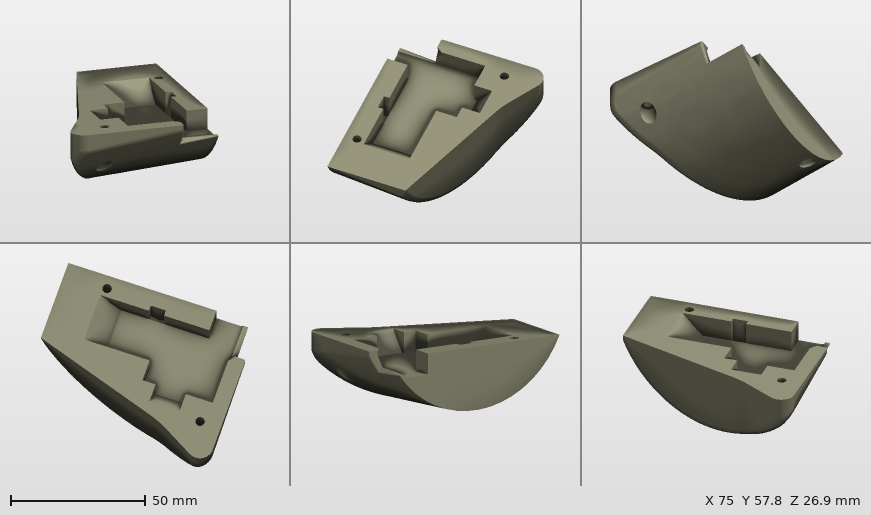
import cadquery as cq
import math


LENGTH = 75.0
WIDTH = 57.8
LEFT_END_WIDTH = 31.5
BEND_START = (49.3, -47.55)
BEND_END = (56.4, -50.85)
BEND_RADIUS = 37.5
NOSE_START_ANGLE = math.radians(-120)
NOSE_RADIUS = 5.0

BACK_DEPTH = 24.2
FRONT_DEPTH = 28.0
BACK_BELLY_RADIUS = 41.1
FRONT_BELLY_RADIUS = 44.5
BELLY_EDGE_RADIUS = 3.0

NOTCH_X = 70.8
NOTCH_Y = -15.0
NOTCH_CORNER_RADIUS = 0.75

FLOOR_Z = -8.0
FLOOR_FILLET = 1.5
RAMP_FOOT_Z = -8.4
POCKET_LEFT = 15.45
RAMP_END = 23.8
POCKET_STEP_X = 41.25
POCKET_RIGHT = 68.9
POCKET_BACK = -8.25
POCKET_MIDDLE_Y = -26.85
POCKET_FRONT_Y = -35.1
BACK_OPENING_X = 58.35

RECESS_LEFT = 46.4
RECESS_FRONT = -42.3
RECESS_RAMP_END = -36.15

GROOVE_LEFT = 34.6
GROOVE_RIGHT = 40.5
GROOVE_BACK = -6.1
GROOVE_SIDE_Z = -10.9
GROOVE_BOTTOM_Z = -12.6

SLIT_LEFT = 18.75
SLIT_FRONT = -8.55

SILL_Z = -6.9
RELIEF_WIDTH = 1.9
RELIEF_LENGTH = 2.55
RELIEF_WIDEST_Z = -2.6
RELIEF_GROWTH = 1.4
SILL_BEVEL_DROP = 1.5

PICK_MARGIN = 0.75

HOLE_CENTRES = [(16.95, -4.95), (66.9, -43.65)]
HOLE_DIAMETER = 3.5
COUNTERBORE_DIAMETER = 6.15
SEAT_Z = -10.0

OVERRUN = 7.5


def box(x_range, y_range, z_range):
    """Axis-aligned box between the given limits."""
    sizes = [abs(end - start) for start, end in (x_range, y_range, z_range)]
    corner = (min(x_range), min(y_range), min(z_range))
    return cq.Workplane("XY").box(*sizes, centered=False).translate(corner)


def prism_along_y(points, y_start, y_end):
    """Extrude an X-Z polygon from y_start towards +Y."""
    plane = cq.Workplane("XZ", origin=(0, y_start, 0))
    return plane.polyline(points).close().extrude(y_start - y_end)


def prism_along_x(points, x_start, x_end):
    """Extrude a Y-Z polygon from x_start towards +X."""
    plane = cq.Workplane("YZ", origin=(x_start, 0, 0))
    return plane.polyline(points).close().extrude(x_end - x_start)


def tetrahedron(a, b, c, d):
    """Solid with four triangular faces."""
    triangles = [(a, b, c), (a, b, d), (b, c, d), (a, c, d)]
    faces = []
    for corners in triangles:
        vectors = [cq.Vector(*corner) for corner in corners]
        faces.append(cq.Face.makeFromWires(cq.Wire.makePolygon(vectors, close=True)))
    return cq.Workplane(cq.Solid.makeSolid(cq.Shell.makeShell(faces)))


def point_on_circle(centre_x, centre_y, radius, angle):
    """Point of a circle at an angle measured from +X."""
    return (centre_x + radius * math.cos(angle), centre_y + radius * math.sin(angle))


def make_outline():
    """Plan shape as a tall prism, run past the left end so its belly edge can be rounded right through."""
    left_slope = (BEND_START[1] + LEFT_END_WIDTH) / BEND_START[0]
    left_x = -OVERRUN
    left_y = -LEFT_END_WIDTH + left_slope * left_x
    nose_x = LENGTH - NOSE_RADIUS
    nose_y = -WIDTH + NOSE_RADIUS
    nose_start = point_on_circle(nose_x, nose_y, NOSE_RADIUS, NOSE_START_ANGLE)
    nose_middle = point_on_circle(nose_x, nose_y, NOSE_RADIUS, NOSE_START_ANGLE / 2)
    return (
        cq.Workplane("XY", origin=(0, 0, -FRONT_DEPTH - OVERRUN))
        .moveTo(left_x, 0)
        .lineTo(left_x, left_y)
        .lineTo(*BEND_START)
        .radiusArc(BEND_END, BEND_RADIUS)
        .lineTo(*nose_start)
        .threePointArc(nose_middle, (LENGTH, nose_y))
        .lineTo(LENGTH, 0)
        .close()
        .extrude(FRONT_DEPTH + 2 * OVERRUN)
    )


def make_belly():
    """Tapered round bar whose underside is the belly."""
    back_centre = BACK_BELLY_RADIUS - BACK_DEPTH
    front_centre = FRONT_BELLY_RADIUS - FRONT_DEPTH
    return (
        cq.Workplane("XZ", origin=(LENGTH / 2, 0, 0))
        .center(0, back_centre)
        .circle(BACK_BELLY_RADIUS)
        .workplane(offset=WIDTH)
        .center(0, front_centre - back_centre)
        .circle(FRONT_BELLY_RADIUS)
        .loft(ruled=True)
    )


def make_body():
    """Outline cut by the belly, rounded along its front belly edge and trimmed at the top and left end."""
    raw = make_outline().intersect(make_belly())
    front_region = cq.selectors.BoxSelector(
        (-OVERRUN, -WIDTH, -FRONT_DEPTH),
        (LENGTH - PICK_MARGIN, -LEFT_END_WIDTH / 2, 0),
    )
    front_edge = raw.edges("%BSPLINE").edges(front_region)
    rounded = front_edge.fillet(BELLY_EDGE_RADIUS)
    return rounded.intersect(box((0, LENGTH), (-WIDTH, 0), (-FRONT_DEPTH, 0)))


def cut_notch(body):
    """Remove the back right corner over the full height and ease the corner that is left."""
    notch = box((NOTCH_X, LENGTH), (NOTCH_Y, 0), (-FRONT_DEPTH, 0))
    corner = cq.selectors.BoxSelector(
        (LENGTH - PICK_MARGIN, NOTCH_Y - PICK_MARGIN, -FRONT_DEPTH),
        (LENGTH + PICK_MARGIN, NOTCH_Y + PICK_MARGIN, 0),
    )
    return body.cut(notch).edges("|Z").edges(corner).fillet(NOTCH_CORNER_RADIUS)


def make_pocket():
    """Stepped pocket, open to the back at the right, with a ramp at its left end."""
    main = box((RAMP_END, POCKET_RIGHT), (POCKET_MIDDLE_Y, POCKET_BACK), (FLOOR_Z, 0))
    front = box((POCKET_STEP_X, POCKET_RIGHT), (POCKET_FRONT_Y, POCKET_BACK), (FLOOR_Z, 0))
    opening = box((BACK_OPENING_X, POCKET_RIGHT), (POCKET_FRONT_Y, 0), (FLOOR_Z, 0))
    ramp = prism_along_y(
        [(POCKET_LEFT, 0), (RAMP_END, RAMP_FOOT_Z), (RAMP_END, 0)], POCKET_MIDDLE_Y, POCKET_BACK
    )
    pocket = main.union(front).union(opening).union(ramp)
    right_floor_edge = cq.selectors.BoxSelector(
        (POCKET_RIGHT - PICK_MARGIN, POCKET_FRONT_Y, FLOOR_Z - PICK_MARGIN),
        (POCKET_RIGHT + PICK_MARGIN, 0, FLOOR_Z + PICK_MARGIN),
    )
    return pocket.edges("|Y").edges(right_floor_edge).fillet(FLOOR_FILLET)


def make_recess():
    """Recess in front of the pocket whose bottom ramps down to just below the pocket floor."""
    return prism_along_x(
        [
            (RECESS_FRONT, 0),
            (RECESS_RAMP_END, RAMP_FOOT_Z),
            (RECESS_RAMP_END, FLOOR_Z),
            (POCKET_FRONT_Y, FLOOR_Z),
            (POCKET_FRONT_Y, 0),
        ],
        RECESS_LEFT,
        BACK_OPENING_X,
    )


def make_groove():
    """Upright groove in the back wall, ending in a shallow V below the pocket floor."""
    profile = [
        (GROOVE_LEFT, 0),
        (GROOVE_LEFT, GROOVE_SIDE_Z),
        ((GROOVE_LEFT + GROOVE_RIGHT) / 2, GROOVE_BOTTOM_Z),
        (GROOVE_RIGHT, GROOVE_SIDE_Z),
        (GROOVE_RIGHT, 0),
    ]
    return prism_along_y(profile, SLIT_FRONT, GROOVE_BACK)


def make_slit():
    """Slit along the foot of the back wall, as deep as the straight sides of the groove."""
    return box((SLIT_LEFT, BACK_OPENING_X), (SLIT_FRONT, POCKET_BACK), (GROOVE_SIDE_Z, 0))


def relief_corners(growth, z):
    """Triangle at the front corner of the side opening, enlarged by the given factor."""
    return [
        (POCKET_RIGHT, NOTCH_Y, z),
        (POCKET_RIGHT + RELIEF_WIDTH * growth, NOTCH_Y, z),
        (POCKET_RIGHT, NOTCH_Y - RELIEF_LENGTH * growth, z),
    ]


def make_relief():
    """Hollow in the front corner: it widens below the top face, then narrows to a point at the sill."""
    top = relief_corners(1, 0)
    widest = relief_corners(RELIEF_GROWTH, RELIEF_WIDEST_Z)
    wires = []
    for corners in (top, widest):
        wires.append(cq.Wire.makePolygon([cq.Vector(*corner) for corner in corners], close=True))
    upper = cq.Workplane(cq.Solid.makeLoft(wires, True))
    return upper.union(tetrahedron(*widest, (POCKET_RIGHT, NOTCH_Y, SILL_Z)))


def make_side_opening():
    """Opening from the pocket into the notch, with a relieved front corner and a beveled sill."""
    opening = box((POCKET_RIGHT - FLOOR_FILLET, LENGTH), (NOTCH_Y, 0), (SILL_Z, 0))
    sill_bevel = tetrahedron(
        (NOTCH_X, 0, SILL_Z),
        (POCKET_RIGHT, NOTCH_Y, SILL_Z),
        (NOTCH_X, NOTCH_Y, SILL_Z),
        (NOTCH_X, NOTCH_Y, SILL_Z - SILL_BEVEL_DROP),
    )
    return opening.union(make_relief()).union(sill_bevel)


def make_screw_holes():
    """Through holes with counterbores opening on the belly."""
    holes = cq.Workplane("XY").pushPoints(HOLE_CENTRES).circle(HOLE_DIAMETER / 2).extrude(-FRONT_DEPTH)
    counterbores = (
        cq.Workplane("XY", origin=(0, 0, SEAT_Z))
        .pushPoints(HOLE_CENTRES)
        .circle(COUNTERBORE_DIAMETER / 2)
        .extrude(-FRONT_DEPTH)
    )
    return holes.union(counterbores)


result = cut_notch(make_body())
pocket = make_pocket().union(make_recess()).union(make_groove()).union(make_slit())
for cutter in (pocket, make_side_opening(), make_screw_holes()):
    result = result.cut(cutter)